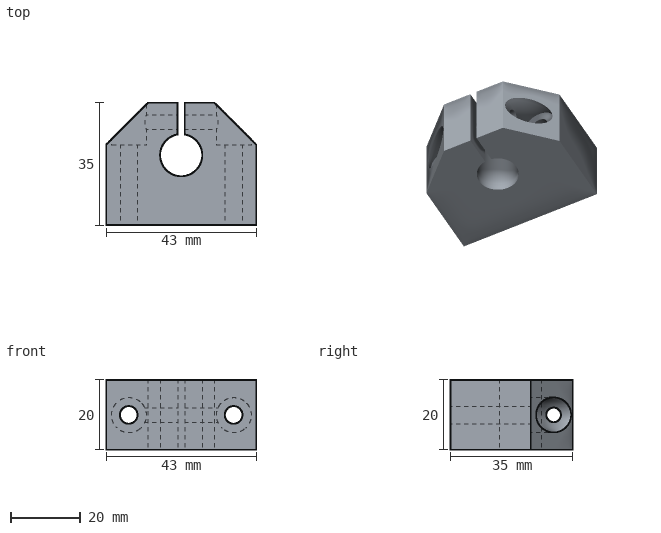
import cadquery as cq

width = 43.0
depth = 35.0
height = 20.0
corner_cut = 12.0
mid_height = height / 2

bore_diameter = 12.0
bore_y = 20.0
slot_width = 2.0

mount_hole_diameter = 5.0
mount_hole_spacing = 30.0
counterbore_diameter = 10.0
counterbore_floor_y = depth - corner_cut

screw_hole_diameter = 4.13
corner_cut_start_x = width / 2 - corner_cut
screw_hole_y = depth - (mount_hole_spacing / 2 - corner_cut_start_x)


def block():
    """Block standing on Z = 0 with its front face on Y = 0."""
    body = cq.Workplane("XY").box(width, depth, height, centered=(True, False, False))
    return body.faces(">Y").edges("|Z").chamfer(corner_cut)


def bore_and_slot():
    """Vertical bore joined to the slot that splits the back of the block."""
    bore = cq.Workplane("XY").center(0, bore_y).circle(bore_diameter / 2).extrude(height)
    slot_length = depth - bore_y
    slot_center_y = bore_y + slot_length / 2
    slot = cq.Workplane("XY").center(0, slot_center_y).rect(slot_width, slot_length).extrude(height)
    return bore.union(slot)


def cylinders_along_y(diameter, start_y):
    """One cylinder on each mounting axis, from start_y to the back of the block."""
    axes = [(side * mount_hole_spacing / 2, mid_height) for side in (-1, 1)]
    plane = cq.Workplane("XZ", origin=(0, start_y, 0))
    return plane.pushPoints(axes).circle(diameter / 2).extrude(start_y - depth)


def screw_hole():
    """Through hole along X that crosses the slot."""
    plane = cq.Workplane("YZ").center(screw_hole_y, mid_height)
    return plane.circle(screw_hole_diameter / 2).extrude(width / 2, both=True)


result = (
    block()
    .cut(bore_and_slot())
    .cut(cylinders_along_y(mount_hole_diameter, 0))
    .cut(cylinders_along_y(counterbore_diameter, counterbore_floor_y))
    .cut(screw_hole())
)